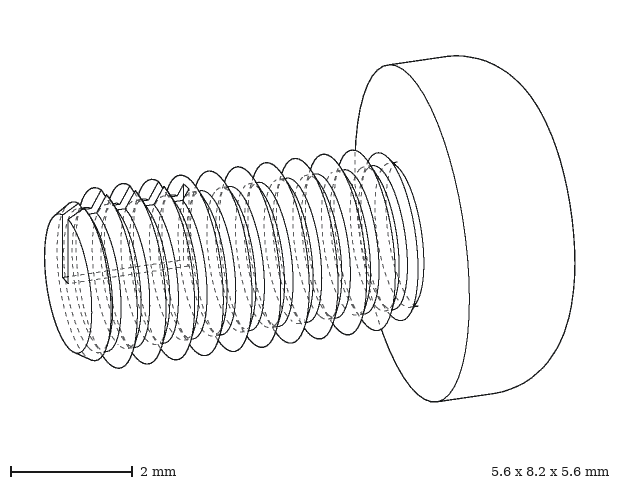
import cadquery as cq
import math

total_length = 8.2
head_diameter = 5.6
head_height = 2.2
dome_radius = 1.2

root_radius = 1.2
crest_radius = 1.5
pitch = 0.5
full_ridge_count = 10
first_crest_from_tip = 0.67
flank_slope = math.tan(math.radians(30))
ridge_half_width = (crest_radius - root_radius) * flank_slope

runout_crest_radius = 1.39
runout_crest_from_tip = 5.61
runout_tip_side_width = 0.115
runout_head_side_width = 0.17

tip_face_radius = 1.16
tip_rim_radius = 1.32
tip_taper_length = 0.28
neck_fillet_radius = 0.1

slot_width = 0.26
slot_length = 2.11

head_radius = head_diameter / 2
tip_y = -total_length / 2
top_y = total_length / 2
head_base_y = top_y - head_height


def add_ridge(profile, crest_y, radius, tip_side_width, head_side_width):
    """Extend the profile over one V-shaped ridge standing on the root."""
    return (
        profile.lineTo(root_radius, crest_y - tip_side_width)
        .lineTo(radius, crest_y)
        .lineTo(root_radius, crest_y + head_side_width)
    )


def make_screw():
    """Revolve the half profile of the shank and domed head about Y."""
    rim_y = tip_y + tip_taper_length
    rim_back_width = (tip_rim_radius - root_radius) * flank_slope
    profile = (
        cq.Workplane("XY")
        .moveTo(0, tip_y)
        .lineTo(tip_face_radius, tip_y)
        .lineTo(tip_rim_radius, rim_y)
        .lineTo(root_radius, rim_y + rim_back_width)
    )
    for i in range(full_ridge_count):
        crest_y = tip_y + first_crest_from_tip + i * pitch
        profile = add_ridge(profile, crest_y, crest_radius, ridge_half_width, ridge_half_width)
    profile = add_ridge(
        profile,
        tip_y + runout_crest_from_tip,
        runout_crest_radius,
        runout_tip_side_width,
        runout_head_side_width,
    )

    profile = (
        profile.lineTo(root_radius, head_base_y - neck_fillet_radius)
        .radiusArc((root_radius + neck_fillet_radius, head_base_y), neck_fillet_radius)
        .lineTo(head_radius, head_base_y)
        .lineTo(head_radius, top_y - dome_radius)
        .radiusArc((head_radius - dome_radius, top_y), -dome_radius)
        .lineTo(0, top_y)
        .close()
    )
    return profile.revolve(360, (0, 0, 0), (0, 1, 0))


def make_slot():
    """Slot from the axis up through the +Z side, with one wall on the axis plane."""
    slot_depth = crest_radius + 0.08
    return cq.Workplane("XY").box(slot_width, slot_length, slot_depth, centered=False).translate(
        (-slot_width, tip_y, 0)
    )


result = make_screw().cut(make_slot())